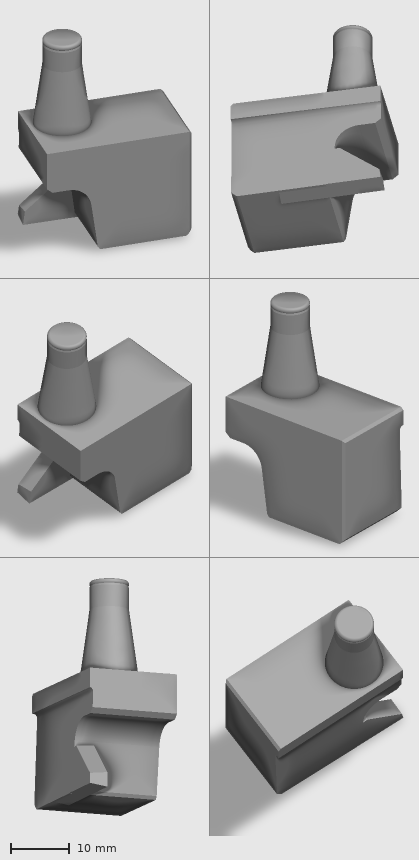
import cadquery as cq
import math

WIDTH = 16.0
LENGTH = 25.97
BLOCK_HEIGHT = 20.05
TOP_BACK_CHAMFER = 0.48
BOTTOM_BACK_CHAMFER = 1.0
BACK_CORNER_CHAMFER = 0.45

RELIEF_RADIUS = 0.77
RELIEF_TOP_Z = -3.35
RELIEF_TILT = 2
RELIEF_YAW = 0.9

NOTCH_TOP_Z = -7.67
NOTCH_RADIUS = 4.05
NOTCH_CENTER_Y = 3.9
NOTCH_WALL_LEAN = 8
LIP_CHAMFER_Y = 1.0
LIP_CHAMFER_Z = 0.85
BOTTOM_FRONT_CHAMFER_Y = 0.4
BOTTOM_FRONT_CHAMFER_Z = 0.6

SHANK_X = 5.98
SHANK_Y = 5.98
CONE_BASE_RADIUS = 10.0 / 2
SHANK_RADIUS = 6.75 / 2
CONE_HEIGHT = 11.5
NECK_START = 15.27
NECK_END = 15.6
NECK_DEPTH = 0.1
SHANK_HEIGHT = 36.9 - 20.45
HEAD_ROUND = 0.48

INSERT_Y = 12.45
INSERT_Z = -16.12
INSERT_THICKNESS = 3.17
INSERT_HALF_HEIGHT = 3.87
SLOPE_START = 5.3
NOSE_REACH = 12.47
NOSE_TOP_REACH = 12.25
NOSE_HEIGHT = 1.77
FLANK_ANGLE = 6
BOSS_DIAMETER = 6.95

tilt = math.radians(RELIEF_TILT)
yaw = math.radians(RELIEF_YAW)
insert_x = (INSERT_Z + BLOCK_HEIGHT) * math.tan(tilt) + INSERT_Y * math.tan(yaw)
along_side = (math.sin(yaw), math.cos(yaw), 0)
insert_plane = cq.Plane(
    origin=(insert_x, INSERT_Y, INSERT_Z),
    xDir=along_side,
    normal=(
        math.cos(tilt) * math.cos(yaw),
        -math.cos(tilt) * math.sin(yaw),
        -math.sin(tilt),
    ),
)


def side_profile():
    """Block outline in the YZ plane, extruded along X."""
    lean = math.radians(NOTCH_WALL_LEAN)
    center_z = NOTCH_TOP_Z - NOTCH_RADIUS
    wall_y = NOTCH_CENTER_Y + NOTCH_RADIUS * math.cos(lean)
    wall_z = center_z + NOTCH_RADIUS * math.sin(lean)
    middle = (math.pi / 2 + lean) / 2
    arc_middle = (
        NOTCH_CENTER_Y + NOTCH_RADIUS * math.cos(middle),
        center_z + NOTCH_RADIUS * math.sin(middle),
    )
    wall_end_z = -BLOCK_HEIGHT + BOTTOM_FRONT_CHAMFER_Z
    wall_end_y = wall_y + (wall_z - wall_end_z) * math.tan(lean)
    return (
        cq.Workplane("YZ")
        .moveTo(0, 0)
        .lineTo(0, NOTCH_TOP_Z + LIP_CHAMFER_Z)
        .lineTo(LIP_CHAMFER_Y, NOTCH_TOP_Z)
        .lineTo(NOTCH_CENTER_Y, NOTCH_TOP_Z)
        .threePointArc(arc_middle, (wall_y, wall_z))
        .lineTo(wall_end_y, wall_end_z)
        .lineTo(wall_end_y + BOTTOM_FRONT_CHAMFER_Y, -BLOCK_HEIGHT)
        .lineTo(LENGTH - BOTTOM_BACK_CHAMFER, -BLOCK_HEIGHT)
        .lineTo(LENGTH, -BLOCK_HEIGHT + BOTTOM_BACK_CHAMFER)
        .lineTo(LENGTH, -TOP_BACK_CHAMFER)
        .lineTo(LENGTH - TOP_BACK_CHAMFER, 0)
        .close()
        .extrude(WIDTH)
    )


def side_relief():
    """Cutter for the relieved left side, with a round under the top lip."""
    margin = 1.85
    bottom_z = -BLOCK_HEIGHT - margin
    center_z = RELIEF_TOP_Z - RELIEF_RADIUS
    blend_z = center_z + RELIEF_RADIUS * math.sin(tilt)
    blend_x = (blend_z + BLOCK_HEIGHT) * math.tan(tilt)
    center_x = blend_x - RELIEF_RADIUS * math.cos(tilt)
    middle = (math.pi / 2 + tilt) / 2
    arc_middle = (
        center_x + RELIEF_RADIUS * math.cos(middle),
        center_z + RELIEF_RADIUS * math.sin(middle),
    )
    plane = cq.Plane(
        origin=(0, 0, 0),
        xDir=(math.cos(yaw), -math.sin(yaw), 0),
        normal=tuple(-part for part in along_side),
    )
    return (
        cq.Workplane(plane)
        .workplane(offset=margin)
        .moveTo(-margin, RELIEF_TOP_Z)
        .lineTo(center_x, RELIEF_TOP_Z)
        .threePointArc(arc_middle, (blend_x, blend_z))
        .lineTo((bottom_z + BLOCK_HEIGHT) * math.tan(tilt), bottom_z)
        .lineTo(-margin, bottom_z)
        .close()
        .extrude(-(LENGTH + 2 * margin))
    )


def back_corner_cut():
    """Wedge that bevels the vertical back edge on the +X side."""
    return (
        cq.Workplane("XY")
        .polyline([
            (WIDTH, LENGTH),
            (WIDTH - BACK_CORNER_CHAMFER, LENGTH),
            (WIDTH, LENGTH - BACK_CORNER_CHAMFER),
        ])
        .close()
        .extrude(-BLOCK_HEIGHT)
    )


def make_shank():
    """Revolved shank: cone, cylinder, shallow neck and rounded rim."""
    rim_middle_z = (NECK_END + SHANK_HEIGHT) / 2
    return (
        cq.Workplane("XZ")
        .moveTo(0, 0)
        .lineTo(CONE_BASE_RADIUS, 0)
        .lineTo(SHANK_RADIUS, CONE_HEIGHT)
        .lineTo(SHANK_RADIUS, NECK_START)
        .lineTo(SHANK_RADIUS - NECK_DEPTH, NECK_END)
        .threePointArc(
            (SHANK_RADIUS, rim_middle_z),
            (SHANK_RADIUS - HEAD_ROUND, SHANK_HEIGHT),
        )
        .lineTo(0, SHANK_HEIGHT)
        .close()
        .revolve(360, (0, 0, 0), (0, 1, 0))
        .translate((SHANK_X, SHANK_Y, 0))
    )


def insert_outline(growth):
    """Six corners of the plate, its long edges and slopes moved out by growth."""
    nose_lean = (NOSE_REACH - NOSE_TOP_REACH) / NOSE_HEIGHT
    nose_top = NOSE_HEIGHT - INSERT_HALF_HEIGHT
    run_per_drop = (NOSE_TOP_REACH - SLOPE_START) / (INSERT_HALF_HEIGHT - nose_top)
    slope_shift = growth * math.hypot(1, run_per_drop)
    half_height = INSERT_HALF_HEIGHT + growth
    nose_rise = slope_shift / (run_per_drop - nose_lean)
    half = [
        (-(SLOPE_START + slope_shift - growth * run_per_drop), half_height),
        (-(NOSE_TOP_REACH - nose_rise * nose_lean), nose_top + nose_rise),
        (-(NOSE_REACH + growth * nose_lean), -half_height),
    ]
    return half + [(-along, -up) for along, up in half]


def make_plate():
    """Insert plate without its hole, flush with the tilted side."""
    growth = INSERT_THICKNESS * math.tan(math.radians(FLANK_ANGLE))
    return (
        cq.Workplane(insert_plane)
        .polyline(insert_outline(0))
        .close()
        .workplane(offset=INSERT_THICKNESS)
        .polyline(insert_outline(growth))
        .close()
        .loft(ruled=True)
    )


plate = make_plate()
boss = cq.Workplane(insert_plane).circle(BOSS_DIAMETER / 2).extrude(INSERT_THICKNESS)

insert = plate.cut(boss)

block = side_profile().cut(side_relief()).cut(back_corner_cut())
holder = block.union(make_shank()).cut(insert)

result = cq.Compound.makeCompound([holder.val(), insert.val()])